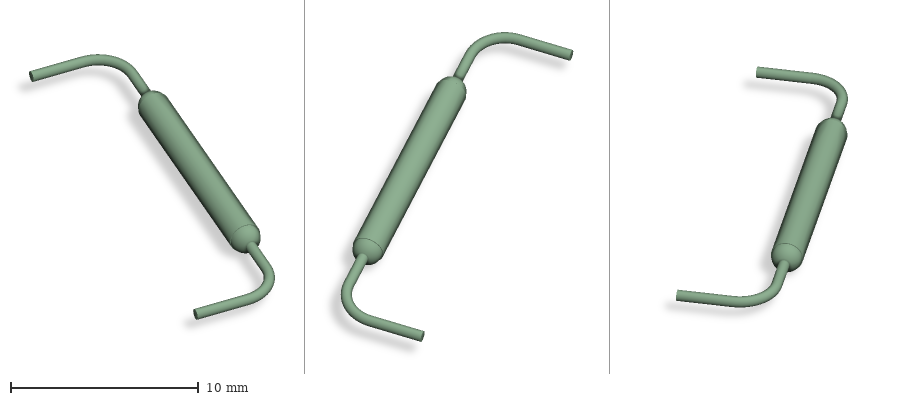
import cadquery as cq

overall_length = 22.1
overall_depth = 5.88
wire_diameter = 0.6
bend_start_x = 8.75
left_lead_height = 0.13
right_lead_height = 0.0
body_diameter = 1.75
body_length = 12.0
cap_diameter = 1.65

leg_x = (overall_length - wire_diameter) / 2
bend_radius = leg_x - bend_start_x
leg_tip_y = body_diameter / 2 - overall_depth
body_end_x = body_length / 2
cap_radius = cap_diameter / 2


def make_body():
    """Cylinder along X, centred on the origin, with a hemispherical cap at each end."""
    body = cq.Workplane("YZ", origin=(-body_end_x, 0, 0)).circle(body_diameter / 2).extrude(body_length)
    for side in (-1, 1):
        cap = cq.Workplane("YZ").sphere(cap_radius).translate((side * body_end_x, 0, 0))
        body = body.union(cap)
    return body


def make_lead(side, height):
    """Round wire leaving the body along X (side -1 or 1) and bent square towards -Y."""
    path = (
        cq.Workplane("XY", origin=(0, 0, height))
        .moveTo(side * body_end_x, 0)
        .lineTo(side * bend_start_x, 0)
        .tangentArcPoint((side * leg_x, -bend_radius), relative=False)
        .lineTo(side * leg_x, leg_tip_y)
    )
    section = cq.Workplane("YZ", origin=(side * body_end_x, 0, height)).circle(wire_diameter / 2)
    return section.sweep(path)


result = (
    make_body()
    .union(make_lead(-1, left_lead_height))
    .union(make_lead(1, right_lead_height))
)